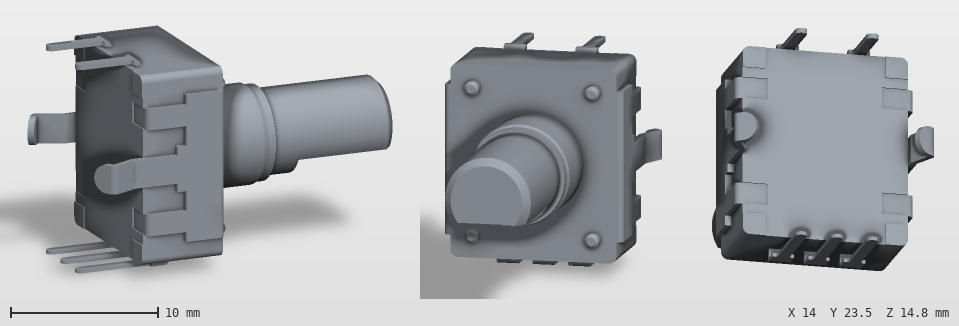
import math

import cadquery as cq


BODY_WIDTH = 11.6
BODY_HEIGHT = 13.4
BODY_DEPTH = 5.9
BODY_CORNER_RADIUS = 0.5
FOOT_RISE = 0.1
FOOT_WIDTH = 1.6
FOOT_HEIGHT = 1.5

SHEET = 0.45
BRACKET_BEND_RADIUS = 0.4
BRACKET_HALF_WIDTH = BODY_WIDTH / 2 + SHEET
BRACKET_HALF_HEIGHT = BODY_HEIGHT / 2 - FOOT_HEIGHT
BRACKET_DEPTH = 2.9
STEP_DEPTH = 3.55
STEP_HALF_HEIGHT = 1.6
TAB_HEIGHT = 1.5
TAB_CENTER_Z = 3.75
TAB_END_X = 4.0
TAB_RECESS = 0.1
TAB_DEPTH = BODY_DEPTH - TAB_RECESS

LEG_WIDTH = 2.0
LEG_BEND_DEPTH = 6.8
ELBOW_X = 6.55
ELBOW_DEPTH = 8.4
LEG_TIP_DEPTH = 9.5
LEG_TIP_ANGLE = math.radians(34)

BUSHING_RADIUS = 3.5
BUSHING_LENGTH = 4.4
BUSHING_TAPER_LENGTH = 0.3
COLLAR_RADIUS = 3.35
COLLAR_END = 5.0
SHAFT_RADIUS = 3.0
SHAFT_END = 14.0
SHAFT_CHAMFER = 0.5
FLAT_START = 7.0
FLAT_OFFSET = 1.5

PEG_RADIUS = 0.5
PEG_LENGTH = 0.75
PEG_CHAMFER = 0.2
PEG_X = 4.2
PEG_Z = 5.1

PIN_WIDTH = 0.8
PIN_TIP_DEPTH = 9.5
PIN_PITCH = 2.5
PIN_BEND_RADIUS = 0.3
SHOULDER_WIDTH = 1.5
NECK_WIDTH = 1.05
NECK_LENGTH = 0.3
PIN_EMBED = 0.5
UPPER_PIN_TOP = 7.15
UPPER_PIN_THICKNESS = 0.35
UPPER_PIN_ROOT_DEPTH = 5.0
UPPER_PIN_SHOULDER_DEPTH = 5.5
LOWER_PIN_BOTTOM = 7.6
LOWER_PIN_THICKNESS = 0.25
LOWER_PIN_ROOT_DEPTH = 2.9
LOWER_PIN_SHOULDER_DEPTH = 4.2


def block(x_range, y_range, z_range):
    """Box spanning the given (low, high) ranges."""
    sizes = [high - low for low, high in (x_range, y_range, z_range)]
    corner = (x_range[0], y_range[0], z_range[0])
    return cq.Workplane("XY").box(*sizes, centered=False).translate(corner)


def mirrored_pair(shape, plane):
    return shape.union(shape.mirror(plane))


def make_body():
    """Rounded block with four raised feet at the corners of its back."""
    def slab(depth):
        return (
            cq.Workplane("XZ")
            .rect(BODY_WIDTH, BODY_HEIGHT)
            .extrude(depth)
            .edges("|Y")
            .fillet(BODY_CORNER_RADIUS)
        )

    foot_end = BODY_DEPTH + FOOT_RISE
    foot = block(
        (BODY_WIDTH / 2 - FOOT_WIDTH, BODY_WIDTH / 2),
        (-foot_end, -BODY_DEPTH),
        (BODY_HEIGHT / 2 - FOOT_HEIGHT, BODY_HEIGHT / 2),
    )
    feet = mirrored_pair(mirrored_pair(foot, "YZ"), "XY")
    return slab(BODY_DEPTH).union(slab(foot_end).intersect(feet))


def make_tab_pocket():
    """Shallow recess in the back of the body above the upper +X tab."""
    return block(
        (TAB_END_X, BODY_WIDTH / 2),
        (-BODY_DEPTH, -TAB_DEPTH),
        (TAB_CENTER_Z - TAB_HEIGHT / 2, TAB_CENTER_Z + TAB_HEIGHT / 2),
    )


def make_tab():
    """Upper +X tab, folded over the back of the body."""
    return (
        block(
            (TAB_END_X, BRACKET_HALF_WIDTH),
            (-TAB_DEPTH, -BRACKET_DEPTH),
            (TAB_CENTER_Z - TAB_HEIGHT / 2, TAB_CENTER_Z + TAB_HEIGHT / 2),
        )
        .edges(">X and <Y")
        .fillet(BRACKET_BEND_RADIUS)
    )


def make_snap_leg():
    """+X snap leg: flares outwards, turns at an elbow and ends in a round tip."""
    flare = math.atan2(ELBOW_X - BODY_WIDTH / 2, ELBOW_DEPTH - LEG_BEND_DEPTH)
    flare_normal = -flare
    tip_normal = math.pi / 2 - LEG_TIP_ANGLE
    bend_y = -LEG_BEND_DEPTH

    def elbow_point(angle):
        return (ELBOW_X + SHEET * math.cos(angle), -ELBOW_DEPTH - SHEET * math.sin(angle))

    outer_bend_y = bend_y + SHEET * math.tan(flare / 2)
    strip = (
        cq.Workplane("XY")
        .workplane(offset=-LEG_WIDTH / 2)
        .moveTo(BODY_WIDTH / 2, -BRACKET_DEPTH)
        .lineTo(BODY_WIDTH / 2, bend_y)
        .lineTo(ELBOW_X, -ELBOW_DEPTH)
        .lineTo(*elbow_point(tip_normal))
        .threePointArc(elbow_point((flare_normal + tip_normal) / 2), elbow_point(flare_normal))
        .lineTo(BRACKET_HALF_WIDTH, outer_bend_y)
        .lineTo(BRACKET_HALF_WIDTH, -BRACKET_DEPTH)
        .close()
        .extrude(LEG_WIDTH)
    )

    tip_rise = LEG_TIP_DEPTH - ELBOW_DEPTH - SHEET * math.cos(LEG_TIP_ANGLE)
    tip_length = tip_rise / math.sin(LEG_TIP_ANGLE)
    tip_radius = LEG_WIDTH / 2
    tip_plane = cq.Plane(
        origin=(ELBOW_X, -ELBOW_DEPTH, 0),
        xDir=(-math.cos(LEG_TIP_ANGLE), -math.sin(LEG_TIP_ANGLE), 0),
        normal=(math.cos(tip_normal), -math.sin(tip_normal), 0),
    )
    tip = (
        cq.Workplane(tip_plane)
        .moveTo(0, -tip_radius)
        .lineTo(tip_length - tip_radius, -tip_radius)
        .threePointArc((tip_length, 0), (tip_length - tip_radius, tip_radius))
        .lineTo(0, tip_radius)
        .close()
        .extrude(SHEET)
    )
    return strip.union(tip)


def make_bracket_side():
    """+X half of the bracket: side plate, middle step, two tabs and the snap leg."""
    inner_x = BODY_WIDTH / 2 - SHEET
    plate = (
        block(
            (inner_x, BRACKET_HALF_WIDTH),
            (-BRACKET_DEPTH, 0),
            (-BRACKET_HALF_HEIGHT, BRACKET_HALF_HEIGHT),
        )
        .edges(">X and >Y")
        .fillet(BRACKET_BEND_RADIUS)
    )
    step = block(
        (inner_x, BRACKET_HALF_WIDTH),
        (-STEP_DEPTH, -BRACKET_DEPTH),
        (-STEP_HALF_HEIGHT, STEP_HALF_HEIGHT),
    )
    tabs = mirrored_pair(make_tab(), "XY")
    return plate.union(step).union(tabs).union(make_snap_leg())


def make_shaft():
    """Bushing, collar and chamfered shaft, with a flat on the underside of the shaft."""
    turned = (
        cq.Workplane("XY")
        .moveTo(0, 0)
        .lineTo(BUSHING_RADIUS, 0)
        .lineTo(BUSHING_RADIUS, BUSHING_LENGTH - BUSHING_TAPER_LENGTH)
        .lineTo(COLLAR_RADIUS, BUSHING_LENGTH)
        .lineTo(COLLAR_RADIUS, COLLAR_END)
        .lineTo(SHAFT_RADIUS, COLLAR_END)
        .lineTo(SHAFT_RADIUS, SHAFT_END - SHAFT_CHAMFER)
        .lineTo(SHAFT_RADIUS - SHAFT_CHAMFER, SHAFT_END)
        .lineTo(0, SHAFT_END)
        .close()
        .revolve(360, (0, 0, 0), (0, 1, 0))
    )
    flat_cut = block(
        (-SHAFT_RADIUS, SHAFT_RADIUS),
        (FLAT_START, SHAFT_END),
        (-SHAFT_RADIUS, -FLAT_OFFSET),
    )
    return turned.cut(flat_cut)


def make_pegs():
    """Four chamfered locating pegs on the mounting face."""
    return (
        cq.Workplane("XZ")
        .rect(2 * PEG_X, 2 * PEG_Z, forConstruction=True)
        .vertices()
        .circle(PEG_RADIUS)
        .extrude(-PEG_LENGTH)
        .faces(">Y")
        .chamfer(PEG_CHAMFER)
    )


def make_pin(outer_z, thickness, root_depth, shoulder_depth):
    """Bent terminal at X = 0 leaving the top of the body; outer_z is its outer face."""
    root_z = BODY_HEIGHT / 2 - PIN_EMBED
    inner_z = outer_z - thickness
    riser = block(
        (-SHOULDER_WIDTH / 2, SHOULDER_WIDTH / 2),
        (-PIN_TIP_DEPTH, -root_depth),
        (root_z, outer_z),
    )
    below_blade = block(
        (-SHOULDER_WIDTH / 2, SHOULDER_WIDTH / 2),
        (-PIN_TIP_DEPTH, -root_depth - thickness),
        (root_z, inner_z),
    )
    riser = riser.edges("|X and >Y and >Z").fillet(PIN_BEND_RADIUS)
    bent_strip = riser.cut(below_blade)

    half_shoulder = SHOULDER_WIDTH / 2
    half_neck = NECK_WIDTH / 2
    half_pin = PIN_WIDTH / 2
    neck_end = -shoulder_depth - NECK_LENGTH
    tip_start = half_pin - PIN_TIP_DEPTH
    narrowing = half_neck - half_pin
    neck_radius = (narrowing**2 + NECK_LENGTH**2) / (2 * narrowing)
    half_sweep = math.asin(NECK_LENGTH / neck_radius) / 2
    neck_mid_x = half_pin + neck_radius * (1 - math.cos(half_sweep))
    neck_mid_y = neck_end + neck_radius * math.sin(half_sweep)
    outline = (
        cq.Workplane("XY")
        .workplane(offset=root_z)
        .moveTo(-half_shoulder, -root_depth)
        .lineTo(-half_shoulder, -shoulder_depth)
        .lineTo(-half_neck, -shoulder_depth)
        .threePointArc((-neck_mid_x, neck_mid_y), (-half_pin, neck_end))
        .lineTo(-half_pin, tip_start)
        .threePointArc((0, -PIN_TIP_DEPTH), (half_pin, tip_start))
        .lineTo(half_pin, neck_end)
        .threePointArc((neck_mid_x, neck_mid_y), (half_neck, -shoulder_depth))
        .lineTo(half_shoulder, -shoulder_depth)
        .lineTo(half_shoulder, -root_depth)
        .close()
        .extrude(outer_z - root_z)
    )
    return bent_strip.intersect(outline)


upper_pin = make_pin(
    UPPER_PIN_TOP, UPPER_PIN_THICKNESS, UPPER_PIN_ROOT_DEPTH, UPPER_PIN_SHOULDER_DEPTH
)
lower_pin = make_pin(
    LOWER_PIN_BOTTOM, LOWER_PIN_THICKNESS, LOWER_PIN_ROOT_DEPTH, LOWER_PIN_SHOULDER_DEPTH
).mirror("XY")
tab_pockets = mirrored_pair(mirrored_pair(make_tab_pocket(), "YZ"), "XY")

result = make_body().cut(tab_pockets)
result = result.union(mirrored_pair(make_bracket_side(), "YZ"))
result = result.union(make_shaft()).union(make_pegs())
for pin_x in (-PIN_PITCH, PIN_PITCH):
    result = result.union(upper_pin.translate((pin_x, 0, 0)))
for pin_x in (-PIN_PITCH, 0, PIN_PITCH):
    result = result.union(lower_pin.translate((pin_x, 0, 0)))